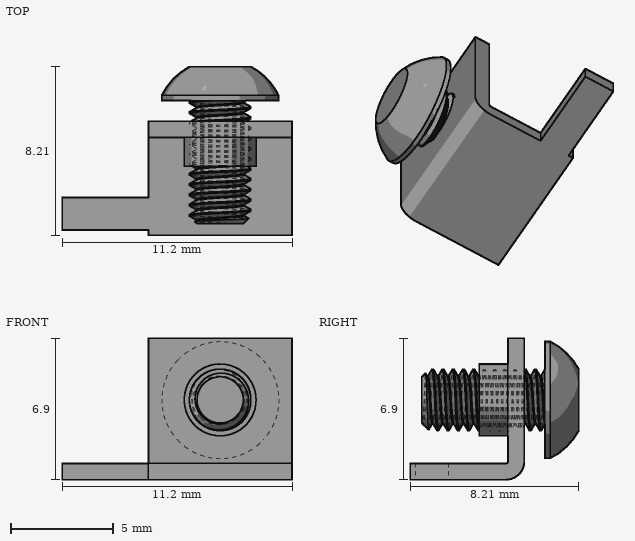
import cadquery as cq
import math


sheet = 0.8
wall_width = 7.0
wall_height = 6.9
bracket_depth = 5.56
bend_inner_radius = 0.1
bend_outer_radius = bend_inner_radius + sheet

tab_length = 4.2
tab_width = 1.6
tab_setback = 0.25

screw_axis_z = 3.89
collar_diameter = 3.5
collar_length = 1.4

head_diameter = 5.7
head_height = 1.65
head_rim = 0.25
head_top_diameter = 3.0
head_gap = 1.0
shank_length = 6.0
tip_diameter = 2.25

thread_diameter = 3.0
thread_pitch = 0.5
half_flank_angle = math.radians(30)
thread_crest_width = thread_pitch / 8
thread_depth = 0.75 * thread_pitch / (2 * math.tan(half_flank_angle))
thread_start = 0.34

ridge_start = thread_start - 2 * thread_pitch
ridge_turns = math.ceil((shank_length - ridge_start) / thread_pitch) + 2

def make_thread_ridge():
    """Helical ridge around +Z, running past both ends of a shank that starts at Z = 0."""
    root_overlap = 0.03
    crest_radius = thread_diameter / 2
    inner_radius = crest_radius - thread_depth - root_overlap
    crest_half = thread_crest_width / 2
    inner_half = crest_half + (thread_depth + root_overlap) * math.tan(half_flank_angle)

    helix = cq.Wire.makeHelix(thread_pitch, ridge_turns * thread_pitch, crest_radius)
    ridge = (
        cq.Workplane("XZ")
        .moveTo(inner_radius, -inner_half)
        .lineTo(crest_radius, -crest_half)
        .lineTo(crest_radius, crest_half)
        .lineTo(inner_radius, inner_half)
        .close()
        .sweep(cq.Workplane(obj=helix), isFrenet=True)
    )
    return ridge.translate((0, 0, ridge_start))

def make_shank():
    """Threaded shank along +Z, trimmed to a flat start and a 45 degree cone at the tip."""
    core = (
        cq.Workplane("XY", origin=(0, 0, ridge_start - thread_pitch))
        .circle(thread_diameter / 2 - thread_depth)
        .extrude((ridge_turns + 2) * thread_pitch)
    )
    trim_clearance = 0.5
    trim_radius = thread_diameter / 2 + trim_clearance
    tip_radius = tip_diameter / 2
    trim = (
        cq.Workplane("XY")
        .circle(trim_radius)
        .extrude(shank_length)
        .faces(">Z")
        .chamfer(trim_radius - tip_radius)
    )
    return core.union(make_thread_ridge()).intersect(trim)

def make_head():
    """Button head below Z = 0: a short rim and a dome centred on the axis, cut off flat."""
    rim_radius = head_diameter / 2
    top_radius = head_top_diameter / 2
    dome_centre = (top_radius**2 + head_height**2 - rim_radius**2 - head_rim**2) / (
        2 * (head_height - head_rim)
    )
    dome_radius = math.hypot(top_radius, head_height - dome_centre)
    mid_radius = (rim_radius + top_radius) / 2
    mid_height = dome_centre + math.sqrt(dome_radius**2 - mid_radius**2)
    return (
        cq.Workplane("XZ")
        .moveTo(0, 0)
        .lineTo(rim_radius, 0)
        .lineTo(rim_radius, -head_rim)
        .threePointArc((mid_radius, -mid_height), (top_radius, -head_height))
        .lineTo(0, -head_height)
        .close()
        .revolve(360, (0, 0), (0, 1))
    )

def make_screw():
    """Screw with its axis turned from +Z to -Y and its head behind the wall."""
    screw = make_head().union(make_shank())
    return screw.rotate((0, 0, 0), (1, 0, 0), 90).translate((0, head_gap, screw_axis_z))

def make_bracket(screw):
    """L-shaped sheet with a side tab and a collar, tapped to fit the screw."""
    sheet_body = (
        cq.Workplane("YZ")
        .moveTo(0, wall_height)
        .lineTo(0, bend_outer_radius)
        .radiusArc((-bend_outer_radius, 0), bend_outer_radius)
        .lineTo(-bracket_depth, 0)
        .lineTo(-bracket_depth, sheet)
        .lineTo(-bend_outer_radius, sheet)
        .radiusArc((-sheet, bend_outer_radius), -bend_inner_radius)
        .lineTo(-sheet, wall_height)
        .close()
        .extrude(wall_width / 2, both=True)
    )
    tab = cq.Workplane("XY").box(tab_length, tab_width, sheet, centered=False)
    tab = tab.translate((-wall_width / 2 - tab_length, tab_setback - bracket_depth, 0))
    collar = (
        cq.Workplane("XZ", origin=(0, -sheet, screw_axis_z))
        .circle(collar_diameter / 2)
        .extrude(collar_length)
    )
    return sheet_body.union(tab).union(collar).cut(screw)

screw = make_screw()
bracket = make_bracket(screw)

result = cq.Compound.makeCompound([bracket.solids().val(), screw.solids().val()])